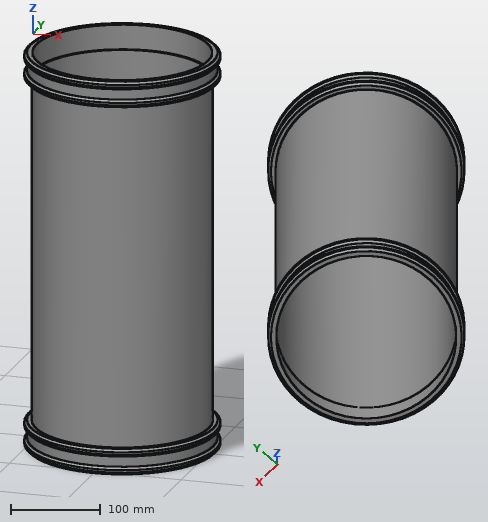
import cadquery as cq

total_length = 459.0
bore_diameter = 200.0
tube_diameter = 202.0
collar_diameter = 212.0
lip_diameter = 218.5
collar_height = 30.0
seat_depth = 1.0
lip_step = 3.0

bore_radius = bore_diameter / 2
tube_radius = tube_diameter / 2
collar_radius = collar_diameter / 2
lip_radius = lip_diameter / 2
lip_height = 3 * lip_step
top_collar_base = total_length - collar_height


def hollow_cylinder(outer_radius, base_z, height):
    """Cylinder on the Z axis with the common bore running through it."""
    return (
        cq.Workplane("XY")
        .workplane(offset=base_z)
        .circle(outer_radius)
        .circle(bore_radius)
        .extrude(height)
    )


def bevelled_lip(base_z):
    """Raised lip with a flat crest between two bevels."""
    return (
        cq.Workplane("XZ")
        .moveTo(bore_radius, base_z)
        .lineTo(collar_radius, base_z)
        .lineTo(lip_radius, base_z + lip_step)
        .lineTo(lip_radius, base_z + 2 * lip_step)
        .lineTo(collar_radius, base_z + lip_height)
        .lineTo(bore_radius, base_z + lip_height)
        .close()
        .revolve(360, (0, 0, 0), (0, 1, 0))
    )


def make_collar(base_z):
    """Grooved collar: a plain ring with a lip at each end."""
    collar = hollow_cylinder(collar_radius, base_z, collar_height)
    for lip_base in (base_z, base_z + collar_height - lip_height):
        collar = collar.union(bevelled_lip(lip_base))
    return collar


def make_collared_tube():
    """Thin tube with the lower collar formed on it, ending in the seat of the upper collar."""
    tube_length = top_collar_base + seat_depth - collar_height
    tube = hollow_cylinder(tube_radius, collar_height, tube_length)
    return tube.union(make_collar(0))


def make_end_collar():
    """Upper collar with a shallow seat in its underside for the tube end."""
    seat = hollow_cylinder(tube_radius, top_collar_base, seat_depth)
    return make_collar(top_collar_base).cut(seat)


collared_tube = make_collared_tube()
end_collar = make_end_collar()

result = cq.Compound.makeCompound([collared_tube.val(), end_collar.val()])